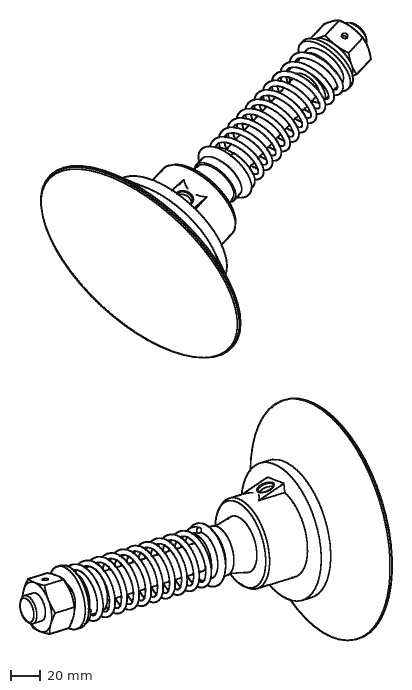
import cadquery as cq
import math

CLOCKING = 10.0

CUP_RADIUS = 85.8
RIM_LENGTH = 2.5
RIM_CHAMFER = 1.0
SHOULDER_RADIUS = 49.2
SHOULDER_START = 27.0
SHOULDER_END = 34.8
HUB_RADIUS = 32.46
HUB_END = 68.4
HUB_CHAMFER_LENGTH = 2.2
HUB_CHAMFER_DEPTH = 1.5

CONE_BASE_RADIUS = 20.0
CONE_TOP_RADIUS = 16.2
COLLAR_START = 85.8
COLLAR_END = 92.4
COLLAR_RADIUS = 17.76
NECK_RADIUS = 12.5
FLANGE_RADIUS = 22.5
FLANGE_THICKNESS = 3.0
FLANGE_ROUND = 1.2
LOWER_FLANGE_START = 95.3
LOWER_FLANGE_END = LOWER_FLANGE_START + FLANGE_THICKNESS
SEAT_RADIUS = 16.54
SEAT_LENGTH = 5.1
ROD_RADIUS = 10.0
ROD_END = 245.0
ROD_CHAMFER = 1.5

BOSS_WIDTH = 20.0
BOSS_HEIGHT = 37.5
BOSS_LENGTH = 29.5
BOSS_SLOPE = 17.0
PORT_DIAMETER = 11.5
PORT_CHAMFER = 0.5
PORT_OFFSET = 8.8
PORT_DEPTH = 3.2
DRILL_POINT_ANGLE = 118.0

BUSH_FLANGE_START = 209.0
BUSH_FLANGE_END = BUSH_FLANGE_START + FLANGE_THICKNESS
BUSH_SEAT_LENGTH = 5.0
BUSH_SLEEVE_RADIUS = 16.05
BUSH_START = 189.1
BUSH_BORE_RADIUS = 10.5

WIRE_DIAMETER = 4.0
SPRING_OUTER_DIAMETER = 41.6
SPRING_TURNS = 10 + (270 - 2 * CLOCKING) / 360
SPRING_CLEARANCE = 0.2

NUT_START = 217.8
NUT_END = 236.5
NUT_FLATS = 35.5
NUT_CHAMFER_HEIGHT = 1.2
NUT_SCREW_DIAMETER = 4.2
NUT_SCREW_DEPTH = 3.7
NUT_SCREW_POSITION = 227.8


def clocked(body):
    """Turn a body about the Y axis from +Z toward +X."""
    return body.rotate((0, 0, 0), (0, 1, 0), CLOCKING)


def revolved(outline):
    """Revolve an outline of (radius, Y) points about the Y axis."""
    return cq.Workplane("XY").polyline(outline).close().revolve(360, (0, 0), (0, 1))


def disc(radius, start, end):
    """Plain disc on the Y axis."""
    return revolved([(0, start), (radius, start), (radius, end), (0, end)])


def make_port_boss():
    """Boss along local +Z whose top face rises toward the cup."""
    drop = BOSS_LENGTH * math.tan(math.radians(BOSS_SLOPE))
    boss_end = SHOULDER_END + BOSS_LENGTH
    side = [
        (SHOULDER_END, 0),
        (SHOULDER_END, BOSS_HEIGHT),
        (boss_end, BOSS_HEIGHT - drop),
        (boss_end, 0),
    ]
    return cq.Workplane("YZ").polyline(side).close().extrude(BOSS_WIDTH / 2, both=True)


def make_port_hole():
    """Chamfered drilled port, square to the sloped top of the boss."""
    slope = math.radians(BOSS_SLOPE)
    radius = PORT_DIAMETER / 2
    point_depth = radius / math.tan(math.radians(DRILL_POINT_ANGLE / 2))
    mouth = radius + PORT_CHAMFER
    outline = [
        (0, mouth),
        (mouth, mouth),
        (mouth, 0),
        (radius, -PORT_CHAMFER),
        (radius, -PORT_DEPTH),
        (0, -PORT_DEPTH - point_depth),
    ]
    drill = cq.Workplane("XZ").polyline(outline).close().revolve(360, (0, 0), (0, 1))
    drill = drill.rotate((0, 0, 0), (1, 0, 0), -BOSS_SLOPE)
    mouth_height = BOSS_HEIGHT - PORT_OFFSET * math.tan(slope)
    return drill.translate((0, SHOULDER_END + PORT_OFFSET, mouth_height))


def make_plunger():
    """Cup, hub, neck, lower spring seat and rod."""
    outline = [
        (0, 0),
        (CUP_RADIUS - RIM_CHAMFER, 0),
        (CUP_RADIUS, RIM_CHAMFER),
        (CUP_RADIUS, RIM_LENGTH),
        (SHOULDER_RADIUS, SHOULDER_START),
        (SHOULDER_RADIUS, SHOULDER_END),
        (HUB_RADIUS, SHOULDER_END),
        (HUB_RADIUS, HUB_END - HUB_CHAMFER_LENGTH),
        (HUB_RADIUS - HUB_CHAMFER_DEPTH, HUB_END),
        (CONE_BASE_RADIUS, HUB_END),
        (CONE_TOP_RADIUS, COLLAR_START),
        (COLLAR_RADIUS, COLLAR_START),
        (COLLAR_RADIUS, COLLAR_END),
        (NECK_RADIUS, COLLAR_END),
        (NECK_RADIUS, LOWER_FLANGE_END),
        (SEAT_RADIUS, LOWER_FLANGE_END),
        (SEAT_RADIUS, LOWER_FLANGE_END + SEAT_LENGTH),
        (ROD_RADIUS, LOWER_FLANGE_END + SEAT_LENGTH),
        (ROD_RADIUS, ROD_END - ROD_CHAMFER),
        (ROD_RADIUS - ROD_CHAMFER, ROD_END),
        (0, ROD_END),
    ]
    flange = disc(FLANGE_RADIUS, LOWER_FLANGE_START, LOWER_FLANGE_END)
    flange = flange.edges("%CIRCLE").fillet(FLANGE_ROUND)
    body = revolved(outline).union(flange)
    return body.union(clocked(make_port_boss())).cut(clocked(make_port_hole())).solids()


def make_bush():
    """Flanged guide bush that slides on the rod."""
    seat_start = BUSH_FLANGE_START - BUSH_SEAT_LENGTH
    return revolved([
        (BUSH_BORE_RADIUS, BUSH_START),
        (BUSH_SLEEVE_RADIUS, BUSH_START),
        (BUSH_SLEEVE_RADIUS, seat_start),
        (SEAT_RADIUS, seat_start),
        (SEAT_RADIUS, BUSH_FLANGE_START),
        (FLANGE_RADIUS, BUSH_FLANGE_START),
        (FLANGE_RADIUS, BUSH_FLANGE_END),
        (BUSH_BORE_RADIUS, BUSH_FLANGE_END),
    ])


def make_spring():
    """Open coil between the two flanges, starting at the clocked +Z side."""
    coil_radius = (SPRING_OUTER_DIAMETER - WIRE_DIAMETER) / 2
    end_gap = WIRE_DIAMETER / 2 + SPRING_CLEARANCE
    start = LOWER_FLANGE_END + end_gap
    height = BUSH_FLANGE_START - end_gap - start
    path = cq.Wire.makeHelix(height / SPRING_TURNS, height, coil_radius)
    wire_section = cq.Workplane("XZ", origin=(coil_radius, 0, 0)).circle(WIRE_DIAMETER / 2)
    coil = wire_section.sweep(cq.Workplane(path), isFrenet=True)
    coil = coil.rotate((0, 0, 0), (1, 0, 0), -90).rotate((0, 0, 0), (0, 1, 0), -90)
    return clocked(coil.translate((0, start, 0)))


def make_nut():
    """Hexagon nut with chamfered corners and a radial set-screw hole."""
    length = NUT_END - NUT_START
    corner_radius = NUT_FLATS / 2 / math.cos(math.radians(30))
    hexagon = (
        cq.Workplane("XZ", origin=(0, NUT_END, 0))
        .polygon(6, 2 * corner_radius)
        .circle(ROD_RADIUS)
        .extrude(length)
    )
    corner_limit = revolved([
        (0, NUT_START),
        (NUT_FLATS / 2, NUT_START),
        (corner_radius, NUT_START + NUT_CHAMFER_HEIGHT),
        (corner_radius, NUT_END - NUT_CHAMFER_HEIGHT),
        (NUT_FLATS / 2, NUT_END),
        (0, NUT_END),
    ])
    screw_hole = (
        cq.Workplane("XY", origin=(0, NUT_SCREW_POSITION, NUT_FLATS / 2))
        .circle(NUT_SCREW_DIAMETER / 2)
        .extrude(-NUT_SCREW_DEPTH)
    )
    return clocked(hexagon.intersect(corner_limit).cut(screw_hole)).solids()


plunger = make_plunger()
bush = make_bush()
spring = make_spring()
nut = make_nut()

result = cq.Compound.makeCompound([plunger.val(), bush.val(), spring.val(), nut.val()])